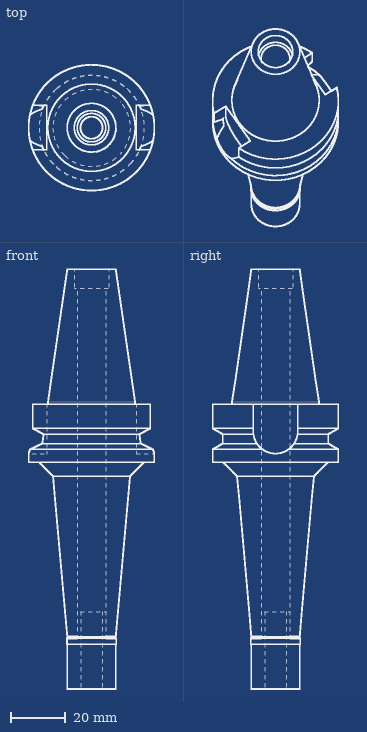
import cadquery as cq

total_height = 153.4

taper_top_radius = 8.9
taper_base_radius = 16.0
taper_base_z = 105.0

flange_radius = 23.0
flange_top_z = 104.2
flange_bottom_z = 82.8
groove_radius = 19.3
groove_rim_top_z = 95.3
groove_floor_top_z = 93.1
groove_floor_bottom_z = 89.7
groove_rim_bottom_z = 87.6

slot_width = 16.3
slot_floor_x = 16.4
slot_bottom_z = 86.0

neck_cone_radius = 19.2
neck_top_radius = 14.1
neck_top_z = flange_bottom_z - (neck_cone_radius - neck_top_radius)
neck_end_radius = 8.9

nut_radius = 8.9
collar_radius = 9.0
collar_start_z = 16.4
nut_top_z = 18.5
nut_gap = 0.6
spigot_length = 9.2
nut_bore_radius = 4.0

mouth_radius = 6.3
mouth_depth = 6.9
bore_radius = 5.2

neck_end_z = nut_top_z + nut_gap
mouth_floor_z = total_height - mouth_depth


def revolve_profile(points):
    """Turn a closed (radius, Z) outline around the Z axis."""
    return cq.Workplane("XZ").polyline(points).close().revolve(360, (0, 0, 0), (0, 1, 0))


def drive_slot(side):
    """Cutter for a round-bottomed slot, open at the top and outwards; side is -1 or +1."""
    end_radius = slot_width / 2
    arc_center_z = slot_bottom_z + end_radius
    depth = flange_radius - slot_floor_x
    profile = (
        cq.Workplane("YZ", origin=(side * slot_floor_x, 0, 0))
        .moveTo(-end_radius, flange_top_z)
        .lineTo(-end_radius, arc_center_z)
        .threePointArc((0, slot_bottom_z), (end_radius, arc_center_z))
        .lineTo(end_radius, flange_top_z)
        .close()
    )
    return profile.extrude(side * depth)


def make_holder():
    """Tapered holder with grooved flange, stepped through bore and two drive slots."""
    body = revolve_profile([
        (bore_radius, neck_end_z),
        (neck_end_radius, neck_end_z),
        (neck_top_radius, neck_top_z),
        (neck_cone_radius, flange_bottom_z),
        (flange_radius, flange_bottom_z),
        (flange_radius, groove_rim_bottom_z),
        (groove_radius, groove_floor_bottom_z),
        (groove_radius, groove_floor_top_z),
        (flange_radius, groove_rim_top_z),
        (flange_radius, flange_top_z),
        (taper_base_radius, flange_top_z),
        (taper_base_radius, taper_base_z),
        (taper_top_radius, total_height),
        (mouth_radius, total_height),
        (mouth_radius, mouth_floor_z),
        (bore_radius, mouth_floor_z),
    ])
    for side in (-1, 1):
        body = body.cut(drive_slot(side))
    return body


def make_nose_nut():
    """Hollow nut with a slightly wider collar and a spigot that fits the holder bore."""
    spigot_top_z = neck_end_z + spigot_length
    return revolve_profile([
        (nut_bore_radius, 0),
        (nut_radius, 0),
        (nut_radius, collar_start_z),
        (collar_radius, collar_start_z),
        (collar_radius, nut_top_z),
        (bore_radius, nut_top_z),
        (bore_radius, spigot_top_z),
        (nut_bore_radius, spigot_top_z),
    ])


holder = make_holder()
nose_nut = make_nose_nut()
result = cq.Compound.makeCompound([holder.val(), nose_nut.val()])